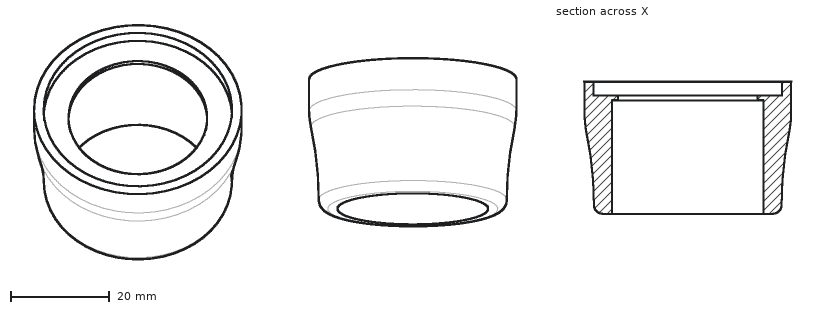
import cadquery as cq
import math

height = 26.75
rim_radius = 21.0
base_diameter = 38.1
base_radius = base_diameter / 2
base_fillet = 1.85
flare_top = 20.2
flare_joint = 16.9

recess_radius = base_radius
recess_depth = 2.77
lip_radius = 14.03
lip_thickness = 1.0
bore_radius = 15.25

flare_share = (flare_joint - base_fillet) / (flare_top - base_fillet)
joint_radius = base_radius + flare_share * (rim_radius - base_radius)

recess_floor = height - recess_depth
lip_underside = recess_floor - lip_thickness

fillet_centre_radius = base_radius - base_fillet
fillet_mid = (
    fillet_centre_radius + base_fillet * math.sin(math.pi / 4),
    base_fillet - base_fillet * math.cos(math.pi / 4),
)

section = (
    cq.Workplane("XZ")
    .moveTo(bore_radius, 0)
    .lineTo(fillet_centre_radius, 0)
    .threePointArc(fillet_mid, (base_radius, base_fillet))
    .tangentArcPoint((joint_radius, flare_joint), relative=False)
    .tangentArcPoint((rim_radius, flare_top), relative=False)
    .lineTo(rim_radius, height)
    .lineTo(recess_radius, height)
    .lineTo(recess_radius, recess_floor)
    .lineTo(lip_radius, recess_floor)
    .lineTo(lip_radius, lip_underside)
    .lineTo(bore_radius, lip_underside)
    .close()
)

result = section.revolve(360, (0, 0, 0), (0, 1, 0))